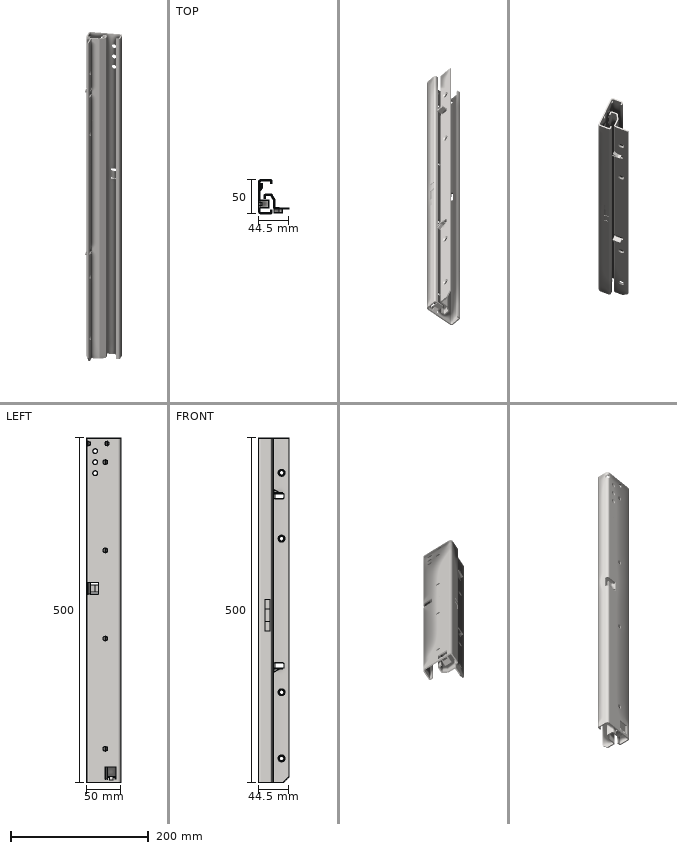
import cadquery as cq
import math

length = 500.0
sheet = 2.0

channel_width = 50.0
channel_depth = 19.5
channel_lip = 6.0
web_bend = 4.0
lip_bend = 2.5

overall_depth = 44.5
plate_front = 7.0
leg_back = 24.0
leg_bend = 2.5
shoulder_start = 20.5
shoulder_end = 19.0
hook_left = 8.0
hook_end = 22.5
hook_top = 29.0
hook_bend = 3.0
plate_chamfer = 8.5

web_hole_diameter = 6.5
outer_hole_y = 37.5
outer_hole_heights = (449.0, 465.0, 481.0)
middle_hole_y = 23.0
middle_hole_heights = (49.0, 209.0, 337.0, 465.0)
end_hole_diameter = 6.0
end_hole_height = 492.0
end_hole_ys = (20.5, 47.5)

bridge_window_bottom = 273.5
bridge_window_top = 290.0
bridge_window_start = 33.0
bridge_window_depth = 5.0
bridge_slit = 3.0
bridge_offset = 3.5
bridge_ramp = 4.5
bridge_end = 44.5

stop_window_start = 7.5
stop_window_width = 15.5
stop_window_bottom = 5.0
stop_window_top = 22.5
stop_start = 9.0
stop_width = 11.0
stop_reach = 15.0
stop_height = 9.0
stop_bend = 3.0
dimple_width = 5.0
dimple_leg = 5.0

pad_left = 9.5
pad_right = 17.0
pad_edges = (220.0, 233.5, 252.0, 266.0)
pad_depths = (0.5, 1.0, 0.5)

screw_x = 33.5
screw_heights = (35.0, 131.0, 354.0, 449.5)
screw_diameter = 6.5
screw_head_diameter = 10.0

lug_left = 22.5
lug_right = 34.5
lug_front = 1.5
lug_window_left = 22.0
lug_window_right = 37.0
lug_window_height = 7.0
lug_window_corner = 2.0
gusset_width = 7.5
gusset_height = 4.0
gusset_front = 2.5
upper_lug_height = 419.0
lower_lug_height = 166.5


def block(x0, x1, y0, y1, z0, z1):
    """Box between two limits on each axis."""
    return cq.Workplane("XY", origin=(x0, y0, z0)).box(x1 - x0, y1 - y0, z1 - z0, centered=False)


def web_hole(diameter, y, z):
    return cq.Workplane("YZ").center(y, z).circle(diameter / 2).extrude(web_bend)


def channel():
    centre = (channel_depth / 2, channel_width / 2)
    outside = (
        cq.Workplane("XY")
        .center(*centre)
        .rect(channel_depth, channel_width)
        .extrude(length)
    )
    outside = outside.edges("|Z and <X").fillet(web_bend).edges("|Z and >X").fillet(lip_bend)
    cavity = (
        cq.Workplane("XY")
        .center(*centre)
        .rect(channel_depth - 2 * sheet, channel_width - 2 * sheet)
        .extrude(length)
    )
    cavity = cavity.edges("|Z and <X").fillet(web_bend - sheet).edges("|Z and >X").fillet(lip_bend - sheet)
    mouth = block(channel_depth / 2, channel_depth, channel_lip, channel_width - channel_lip, 0, length)
    return outside.cut(cavity).cut(mouth)


def bridge():
    ramp_end = bridge_window_start + bridge_ramp
    height = bridge_window_top - bridge_window_bottom - 2 * bridge_slit
    return (
        cq.Workplane("XY", origin=(0, 0, bridge_window_bottom + bridge_slit))
        .moveTo(0, bridge_window_start)
        .lineTo(bridge_offset, ramp_end)
        .lineTo(bridge_offset, bridge_end)
        .lineTo(bridge_offset + sheet, bridge_end)
        .lineTo(bridge_offset + sheet, ramp_end)
        .lineTo(sheet, bridge_window_start)
        .close()
        .extrude(height)
    )


def bend_wedge(width, leg):
    """Triangular prism in the upper outside corner of the stop tab, centred on its width."""
    middle = stop_start + stop_width / 2
    return (
        cq.Workplane("XZ", origin=(0, middle + width / 2, 0))
        .moveTo(0, stop_height)
        .lineTo(leg, stop_height)
        .lineTo(0, stop_height - leg)
        .close()
        .extrude(width)
    )


def stop_tab():
    stop_end = stop_start + stop_width
    under = stop_height - sheet
    tab = block(0, stop_reach, stop_start, stop_end, stop_window_bottom, stop_height)
    tab = tab.cut(block(sheet, stop_reach, stop_start, stop_end, stop_window_bottom, under))
    tab = tab.edges("|Y and <X and >Z").fillet(stop_bend)
    bulge = bend_wedge(dimple_width + sheet, dimple_leg + 2 * sheet).cut(
        block(0, sheet, 0, channel_width, 0, stop_height)
    )
    bulge = bulge.cut(block(0, stop_reach, 0, channel_width, under, stop_height))
    return tab.union(bulge)


def make_outer_rail():
    rail = channel()
    for z in outer_hole_heights:
        rail = rail.cut(web_hole(web_hole_diameter, outer_hole_y, z))
    for z in middle_hole_heights:
        rail = rail.cut(web_hole(web_hole_diameter, middle_hole_y, z))
    for y in end_hole_ys:
        rail = rail.cut(web_hole(end_hole_diameter, y, end_hole_height))

    window = block(
        0, bridge_window_depth, bridge_window_start, channel_width, bridge_window_bottom, bridge_window_top
    )
    rail = rail.cut(window).union(bridge())

    stop_window_end = stop_window_start + stop_window_width
    stop_window = block(
        0, sheet, stop_window_start, stop_window_end, stop_window_bottom, stop_window_top
    )
    rail = rail.cut(stop_window).union(stop_tab()).cut(bend_wedge(dimple_width, dimple_leg))
    for z0, z1, depth in zip(pad_edges[:-1], pad_edges[1:], pad_depths):
        rail = rail.cut(block(pad_left, pad_right, 0, depth, z0, z1))
    return rail


def hooked_section():
    d = math.sin(math.pi / 4)
    leg_front = leg_back - sheet
    tilt = math.atan2(leg_back - shoulder_end, hook_top - shoulder_start)
    inner_start = shoulder_start - sheet * math.tan(tilt / 2)
    inner_end = shoulder_end - sheet * math.tan(math.pi / 4 - tilt / 2)
    hook_x = hook_left + hook_bend
    hook_y = hook_top - hook_bend
    inner_hook = hook_bend - sheet
    bend_x = leg_front + leg_bend
    bend_y = plate_front + leg_bend
    inner_leg = leg_bend - sheet
    return (
        cq.Workplane("XY")
        .moveTo(overall_depth, plate_front)
        .lineTo(bend_x, plate_front)
        .threePointArc((bend_x - d * leg_bend, bend_y - d * leg_bend), (leg_front, bend_y))
        .lineTo(leg_front, inner_start)
        .lineTo(inner_end, hook_top - sheet)
        .lineTo(hook_x, hook_top - sheet)
        .threePointArc((hook_x - d * inner_hook, hook_y + d * inner_hook), (hook_left + sheet, hook_y))
        .lineTo(hook_left + sheet, hook_end)
        .lineTo(hook_left, hook_end)
        .lineTo(hook_left, hook_y)
        .threePointArc((hook_x - d * hook_bend, hook_y + d * hook_bend), (hook_x, hook_top))
        .lineTo(shoulder_end, hook_top)
        .lineTo(leg_back, shoulder_start)
        .lineTo(leg_back, bend_y)
        .threePointArc((bend_x - d * inner_leg, bend_y - d * inner_leg), (bend_x, plate_front + sheet))
        .lineTo(overall_depth, plate_front + sheet)
        .close()
        .extrude(length)
    )


def screw_hole(z):
    centre = cq.Vector(screw_x, plate_front, z)
    inward = cq.Vector(0, 1, 0)
    front = cq.Workplane("XZ", origin=centre)
    sink = cq.Solid.makeCone(screw_head_diameter / 2, screw_diameter / 2, sheet, centre, inward)
    return front.circle(screw_diameter / 2).extrude(-sheet).union(cq.Workplane(sink))


def add_lug(rail, edge, side):
    """Window on one side of the edge height, lug standing forward on the other."""
    far = edge - side * lug_window_height
    bend_back = plate_front + leg_bend
    window = block(
        lug_window_left, lug_window_right, plate_front, bend_back, min(edge, far), max(edge, far)
    )
    window = window.edges("|Y and >X").edges("<Z" if side > 0 else ">Z").fillet(lug_window_corner)
    back = edge + side * sheet
    lug = block(lug_left, lug_right, lug_front, plate_front + sheet, min(edge, back), max(edge, back))
    gusset = (
        cq.Workplane("XZ", origin=(0, gusset_front, 0))
        .moveTo(lug_left, back)
        .lineTo(lug_left + gusset_width, back)
        .lineTo(lug_left, back + side * gusset_height)
        .close()
        .extrude(gusset_front - bend_back)
    )
    return rail.cut(window).union(lug).union(gusset)


def make_inner_rail():
    rail = hooked_section().edges("|Y and >X and <Z").chamfer(plate_chamfer)
    for z in screw_heights:
        rail = rail.cut(screw_hole(z))
    rail = add_lug(rail, upper_lug_height, 1)
    return add_lug(rail, lower_lug_height, -1)


outer_rail = make_outer_rail()
inner_rail = make_inner_rail()
result = cq.Compound.makeCompound([outer_rail.val(), inner_rail.val()])